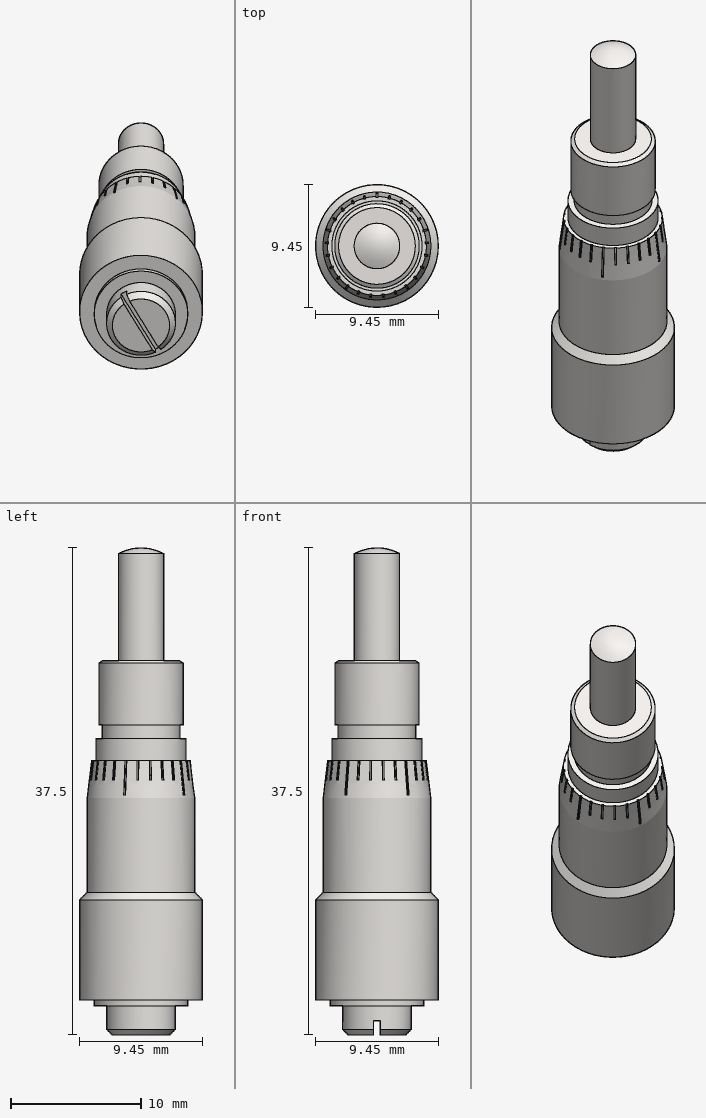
import cadquery as cq
import math


overall_length = 37.47
knob_chamfer = 0.45
collar_z = 2.25
grip_z = 2.7
grip_top_z = 10.4
taper_base_z = 18.2
thimble_top_z = 21.1
flange_top_z = 22.8
groove_top_z = 23.85
sleeve_top_z = 28.8

spindle_radius = 1.75
dome_height = 0.45

knob_radius = 2.65
collar_radius = 3.6
grip_radius = 9.45 / 2
thimble_radius = 4.15
thimble_top_radius = 3.8
grip_chamfer = grip_radius - thimble_radius

slot_width = 0.5
slot_depth = 1.1

division_count = 25
divisions_per_long_mark = 5
zero_mark_angle = 90
mark_width = 0.13
mark_depth = 0.08
short_mark_length = 1.5
long_mark_length = 2.65

flange_radius = 3.47
groove_radius = 3.0
barrel_radius = 3.25
barrel_chamfer_width = 0.3
barrel_chamfer_height = 0.2


def make_sleeve():
    """Stepped tube; the spindle fills its bore and its flange fills the thimble socket."""
    return (
        cq.Workplane("XZ")
        .moveTo(spindle_radius, taper_base_z)
        .lineTo(flange_radius, taper_base_z)
        .lineTo(flange_radius, flange_top_z)
        .lineTo(groove_radius, flange_top_z)
        .lineTo(groove_radius, groove_top_z)
        .lineTo(barrel_radius, groove_top_z)
        .lineTo(barrel_radius, sleeve_top_z - barrel_chamfer_height)
        .lineTo(barrel_radius - barrel_chamfer_width, sleeve_top_z)
        .lineTo(spindle_radius, sleeve_top_z)
        .close()
        .revolve(360, (0, 0), (0, 1))
    )


def make_spindle_blank():
    """Spindle, thimble and knob turned as one piece, with a socket for the sleeve."""
    dome_base_z = overall_length - dome_height
    dome_radius = (spindle_radius**2 + dome_height**2) / (2 * dome_height)
    dome_half_angle = math.asin(spindle_radius / dome_radius) / 2
    dome_middle = (
        dome_radius * math.sin(dome_half_angle),
        overall_length - dome_radius * (1 - math.cos(dome_half_angle)),
    )
    return (
        cq.Workplane("XZ")
        .moveTo(0, 0)
        .lineTo(knob_radius - knob_chamfer, 0)
        .lineTo(knob_radius, knob_chamfer)
        .lineTo(knob_radius, collar_z)
        .lineTo(collar_radius, collar_z)
        .lineTo(collar_radius, grip_z)
        .lineTo(grip_radius, grip_z)
        .lineTo(grip_radius, grip_top_z)
        .lineTo(thimble_radius, grip_top_z + grip_chamfer)
        .lineTo(thimble_radius, taper_base_z)
        .lineTo(thimble_top_radius, thimble_top_z)
        .lineTo(flange_radius, thimble_top_z)
        .lineTo(flange_radius, taper_base_z)
        .lineTo(spindle_radius, taper_base_z)
        .lineTo(spindle_radius, dome_base_z)
        .threePointArc(dome_middle, (0, overall_length))
        .close()
        .revolve(360, (0, 0), (0, 1))
    )


def make_mark_cutter(length):
    """Blade at +X that cuts a groove of even depth down the taper from its top edge."""
    taper_slope = (thimble_radius - thimble_top_radius) / (thimble_top_z - taper_base_z)
    end_radius = thimble_top_radius + length * taper_slope
    end_z = thimble_top_z - length
    return (
        cq.Workplane("XZ")
        .moveTo(thimble_top_radius - mark_depth, thimble_top_z)
        .lineTo(thimble_top_radius + mark_depth, thimble_top_z)
        .lineTo(end_radius + mark_depth, end_z)
        .lineTo(end_radius - mark_depth, end_z)
        .close()
        .extrude(mark_width / 2, both=True)
    )


def cut_marks(body):
    """Engrave the graduation, with every fifth mark longer than the rest."""
    for division in range(division_count):
        is_long = division % divisions_per_long_mark == 0
        length = long_mark_length if is_long else short_mark_length
        angle = zero_mark_angle + division * 360 / division_count
        body = body.cut(make_mark_cutter(length).rotate((0, 0, 0), (0, 0, 1), angle))
    return body


def cut_screwdriver_slot(body):
    """Slot along Y across the end of the knob."""
    slot = cq.Workplane("XY").rect(slot_width, 2 * knob_radius).extrude(slot_depth)
    return body.cut(slot)


sleeve = make_sleeve()
spindle = cut_screwdriver_slot(cut_marks(make_spindle_blank()))

result = cq.Compound.makeCompound([sleeve.val(), spindle.val()])